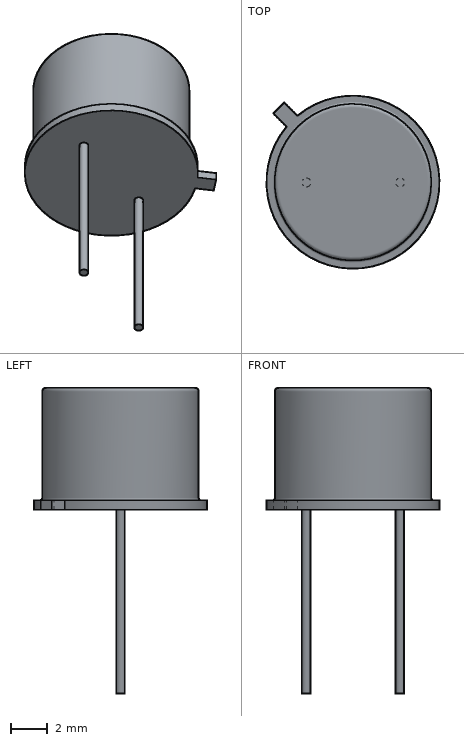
import cadquery as cq
import math

flange_diameter = 9.4
flange_thickness = 0.52
can_diameter = 8.5
overall_height = 16.6
lead_length = 9.98
lead_diameter = 0.48
lead_spacing = 5.08
top_edge_radius = 0.2
base_blend_radius = 0.12
tab_width = 0.84
tab_reach = 5.7
tab_angle = 135.0

can_top = overall_height - lead_length
flange_radius = flange_diameter / 2
can_radius = can_diameter / 2


def make_can():
    """Revolve the flange and can half-profile, with a rounded rim and a blended base."""
    diagonal = math.sqrt(0.5)
    blend_radius_outer = can_radius + base_blend_radius
    blend_height = flange_thickness + base_blend_radius
    blend_middle = (
        blend_radius_outer - base_blend_radius * diagonal,
        blend_height - base_blend_radius * diagonal,
    )
    rim_center_radius = can_radius - top_edge_radius
    rim_center_height = can_top - top_edge_radius
    rim_middle = (
        rim_center_radius + top_edge_radius * diagonal,
        rim_center_height + top_edge_radius * diagonal,
    )
    profile = (
        cq.Workplane("XZ")
        .lineTo(flange_radius, 0)
        .lineTo(flange_radius, flange_thickness)
        .lineTo(blend_radius_outer, flange_thickness)
        .threePointArc(blend_middle, (can_radius, blend_height))
        .lineTo(can_radius, rim_center_height)
        .threePointArc(rim_middle, (rim_center_radius, can_top))
        .lineTo(0, can_top)
        .close()
    )
    return profile.revolve(360, (0, 0, 0), (0, 1, 0))


def make_tab():
    """Flat index tab, level with the flange and running out from inside it."""
    tab_root = can_radius
    return (
        cq.Workplane("XY")
        .rect(tab_reach - tab_root, tab_width)
        .extrude(flange_thickness)
        .translate(((tab_root + tab_reach) / 2, 0, 0))
        .rotate((0, 0, 0), (0, 0, 1), tab_angle)
    )


def make_leads():
    """Two straight leads below the flange, spaced along X."""
    return (
        cq.Workplane("XY")
        .pushPoints([(side * lead_spacing / 2, 0) for side in (-1, 1)])
        .circle(lead_diameter / 2)
        .extrude(-lead_length)
    )


result = make_can().union(make_tab()).union(make_leads())